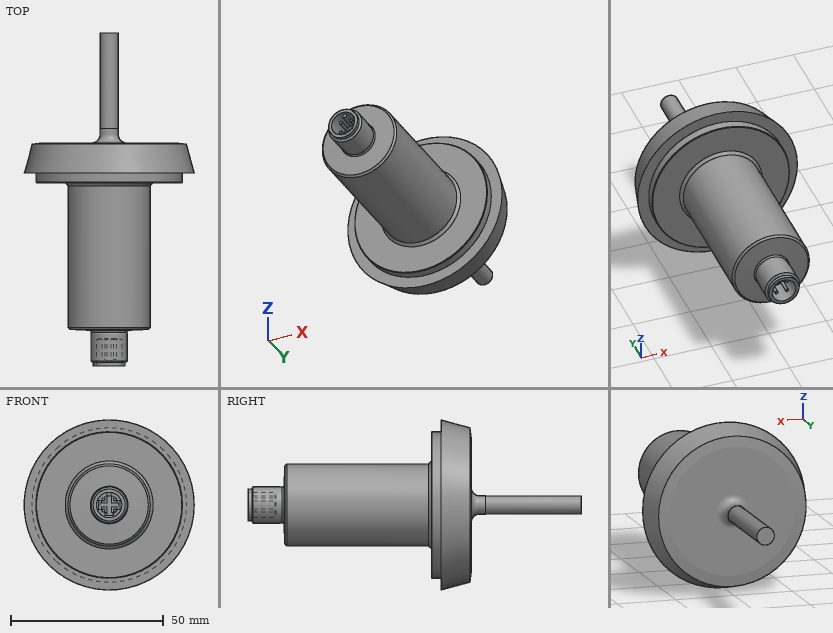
import cadquery as cq
import math

total_length = 109.2
tip_length = 1.2
plug_shoulder = 1.6
plug_back = 10.5
groove_bottom = 11.0
body_front = 11.7
body_edge = 12.0
neck_start = 59.1
flange_front = 60.1
rim_front = 63.2
rim_back = 72.7
back_face = 73.2
boot_end = 76.1
sleeve_end = 77.9

tip_diameter = 10.5
plug_diameter = 12.0
groove_diameter = 11.7
plug_root_diameter = 12.3
body_diameter = 27.0
neck_diameter = 28.8
flange_diameter = 48.0
rim_front_diameter = 55.8
rim_back_diameter = 50.7
back_face_diameter = 43.5
boot_diameter = 11.4
sleeve_diameter = 6.1
cable_diameter = 6.0

flange_chamfer = 0.2
body_chamfer = 0.7
boot_sag = 0.9

socket_diameter = 8.3
socket_depth = 8.7
pin_diameter = 1.0
pin_circle_diameter = 5.2
pin_length = 6.5
pin_count = 4
key_width = 1.3
key_inner_radius = 3.0
cross_depth = 0.3
cross_arm_width = 1.4
cross_head_width = 2.8
cross_head_start = 2.5
cross_head_end = 3.5


def along_y(diameter, start, length):
    """Cylinder on the part axis from station start towards +Y."""
    plane = cq.Plane(origin=(0, start, 0), xDir=(1, 0, 0), normal=(0, 1, 0))
    return cq.Workplane(plane).circle(diameter / 2).extrude(length)


def turned_body():
    """Plug, housing, flange, tapered rim and cable as one revolved outline."""
    boot_radius = boot_diameter / 2
    sleeve_radius = sleeve_diameter / 2
    cable_radius = cable_diameter / 2
    chord_x = sleeve_radius - boot_radius
    chord_y = boot_end - back_face
    chord = math.hypot(chord_x, chord_y)
    boot_middle = (
        (boot_radius + sleeve_radius) / 2 - boot_sag * chord_y / chord,
        (back_face + boot_end) / 2 + boot_sag * chord_x / chord,
    )
    return (
        cq.Workplane("XY")
        .lineTo(tip_diameter / 2, 0)
        .lineTo(tip_diameter / 2, tip_length)
        .lineTo(plug_diameter / 2, plug_shoulder)
        .lineTo(plug_diameter / 2, plug_back)
        .lineTo(groove_diameter / 2, groove_bottom)
        .lineTo(plug_root_diameter / 2, body_front)
        .lineTo(body_diameter / 2 - body_chamfer, body_edge)
        .lineTo(body_diameter / 2, body_edge + body_chamfer)
        .lineTo(body_diameter / 2, neck_start)
        .lineTo(neck_diameter / 2, flange_front)
        .lineTo(flange_diameter / 2 - flange_chamfer, flange_front)
        .lineTo(flange_diameter / 2, flange_front + flange_chamfer)
        .lineTo(flange_diameter / 2, rim_front)
        .lineTo(rim_front_diameter / 2, rim_front)
        .lineTo(rim_back_diameter / 2, rim_back)
        .lineTo(back_face_diameter / 2, back_face)
        .lineTo(boot_radius, back_face)
        .threePointArc(boot_middle, (sleeve_radius, boot_end))
        .lineTo(sleeve_radius, sleeve_end)
        .lineTo(cable_radius, sleeve_end)
        .lineTo(cable_radius, total_length)
        .lineTo(0, total_length)
        .close()
        .revolve(360, (0, 0, 0), (0, 1, 0))
    )


def socket_key():
    """Coding key standing on the +Z side of the socket wall."""
    key_outer_radius = (socket_diameter + tip_diameter) / 4
    key_length = socket_depth - tip_length
    key_height = key_outer_radius - key_inner_radius
    key = cq.Workplane("XY").box(key_width, key_length, key_height, centered=(True, False, False))
    return key.translate((0, tip_length, key_inner_radius))


def contact_pins():
    """Contact pins on the diagonals, rooted just below the socket floor."""
    pins = cq.Workplane("XY")
    for index in range(pin_count):
        angle = math.radians(45 + 360 / pin_count * index)
        x = pin_circle_diameter / 2 * math.cos(angle)
        z = pin_circle_diameter / 2 * math.sin(angle)
        pin = along_y(pin_diameter, socket_depth - pin_length, pin_length + cross_depth)
        pins = pins.add(pin.translate((x, 0, z)))
    return pins.combine()


def floor_cross():
    """Shallow cross in the socket floor, with wide heads on all arms except the keyed one."""
    arm_length = 2 * key_inner_radius
    arm = cq.Workplane("XY").box(arm_length, cross_depth, cross_arm_width, centered=(True, False, True))
    cross = arm.union(arm.rotate((0, 0, 0), (0, 1, 0), 90))
    head_length = cross_head_end - cross_head_start
    head = cq.Workplane("XY").box(head_length, cross_depth, cross_head_width, centered=(False, False, True))
    head = head.translate((cross_head_start, 0, 0))
    for angle in (0, 90, 180):
        cross = cross.union(head.rotate((0, 0, 0), (0, 1, 0), angle))
    return cross.translate((0, socket_depth, 0))


result = turned_body()
result = result.cut(along_y(socket_diameter, 0, socket_depth))
result = result.cut(floor_cross())
result = result.union(socket_key()).union(contact_pins())